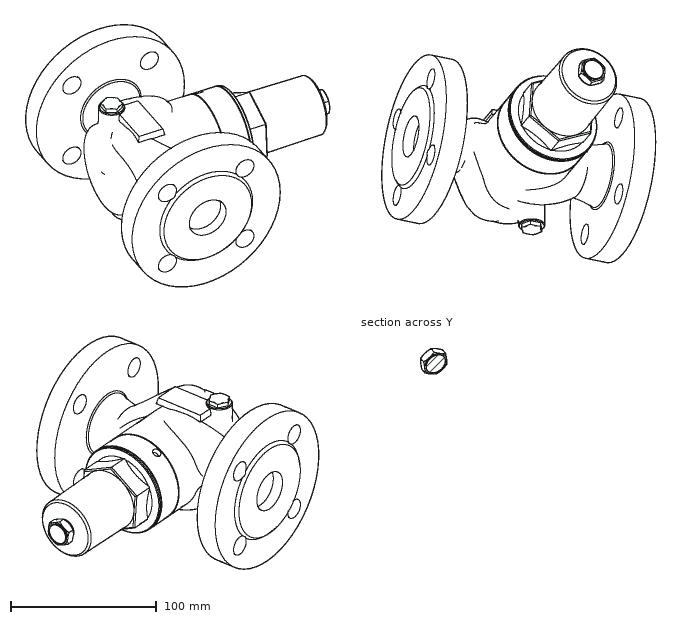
import cadquery as cq
import math


overcut = 1.0

face_to_face = 160.0
overall_depth = 190.78
flange_dia = 115.0
flange_rim_x = 62.0
flange_hub_x = 61.2
raised_face_height = 2.3
raised_face_dia = 68.0
raised_face_base_dia = 72.0
bolt_circle_dia = 85.0
bolt_hole_dia = 14.0
bolt_hole_count = 4
bolt_start_angle = 45.0
port_dia = 28.5
port_depth = 8.0

neck_radius = 18.6
neck_straight_x = 44.0
neck_mid_x = 52.5
neck_mid_radius = 19.9
neck_flare_x = 58.5
neck_flare_radius = 21.6
neck_corner_x = 60.4
neck_corner_radius = 22.3
neck_root_radius = 23.6
neck_body_fillet = 4.0

body_radius = 32.5
base_fillet = 5.0
base_edge_y = -38.2
base_tip_y = -39.9
parting_y = 40.0
lip_groove_y = 59.2
groove_width = 0.4
groove_depth = 0.3
bonnet_top_y = 61.6
bonnet_chamfer = 0.6

hex_across_flats = 46.0
hex_top_y = 76.6
hex_turn = 4.0
hex_chamfer = 0.9
skirt_radius = 26.0
skirt_top_radius = 23.0
skirt_height = 2.0

cap_base_radius = 22.0
cap_top_radius = 21.35
cap_top_y = 124.55
cap_chamfer = 1.5
washer_dia = 15.0
nut_across_flats = 17.0
nut_turn = 5.0
nut_bottom_y = 126.5
nut_corner_slope = 0.6
nut_tip_base_radius = 7.5
nut_tip_radius = 7.0
nut_top_y = 132.7
nut_tip_y = overall_depth - flange_dia / 2

lock_hole_y = 44.0
lock_hole_angle = 30.0
lock_hole_dia = 6.1
lock_hole_depth = 4.0

boss_x = -18.8
boss_y = -22.0
boss_dia = 18.0
boss_draft_z = 34.7
boss_base_dia = 18.8
boss_top_z = 37.3
boss_chamfer = 0.6
plug_corner_dia = 15.0
plug_top_z = 40.4
plug_turn = 30.0
plug_end_radius = 6.2
plug_corner_slope = 0.3
boss_fillet = 2.5

label_x = 0.4
label_y = -11.4
label_length = 38.6
label_width = 20.6
label_draft = 1.1
label_bottom_z = 31.5
label_top_z = 36.1

passage_half_height = 32.4
shoulder_x = 28.6
shoulder_half_height = 27.4
neck_inset = 0.1
corner_inset = 0.1
passage_end = neck_radius - neck_inset
neck_section = (-passage_end, passage_end, passage_end, passage_end - corner_inset)

inlet_sections = [
    (2, -3, 16, passage_half_height, 3),
    (-14, -5, 20, passage_half_height, 5),
    (-shoulder_x, -8, 19, shoulder_half_height, 6),
    (-neck_straight_x, *neck_section),
]
outlet_sections = [
    (0, -36, -9, passage_half_height, 6),
    (18, -36, -9, passage_half_height, 6),
    (shoulder_x, -31, 2, shoulder_half_height, 8),
    (neck_straight_x, *neck_section),
]


def turned(profile):
    """Close a half outline and turn it about the Y axis."""
    return profile.close().revolve(360, (0, 0, 0), (0, 1, 0))


def hexagon(across_flats, turn, bottom, top):
    """Hexagon on the Y axis with one corner turned from +Z toward -X by the given angle."""
    corner_dia = across_flats / math.cos(math.pi / 6)
    prism = cq.Workplane("XZ", origin=(0, bottom, 0)).polygon(6, corner_dia).extrude(bottom - top)
    return prism.rotate((0, 0, 0), (0, 1, 0), 30 - turn)


def round_corners(prism, bottom, top, end_radius, slope, both_ends):
    """Trim the corners of a hexagon on the Y axis with a cone at its top or at both ends."""
    middle = (bottom + top) / 2
    middle_radius = end_radius + (top - middle) / slope
    bottom_radius = end_radius if both_ends else middle_radius
    return prism.intersect(turned(
        cq.Workplane("XY")
        .moveTo(0, bottom)
        .lineTo(bottom_radius, bottom)
        .lineTo(middle_radius, middle)
        .lineTo(end_radius, top)
        .lineTo(0, top)
    ))


def pipe_end(side):
    """Neck, flange and raised face; side is -1 for the inlet and +1 for the outlet."""
    half = face_to_face / 2
    face_x = half - raised_face_height
    profile = (
        cq.Workplane("XY")
        .moveTo(0, 0)
        .lineTo(0, neck_radius)
        .lineTo(neck_straight_x, neck_radius)
        .threePointArc((neck_mid_x, neck_mid_radius), (neck_flare_x, neck_flare_radius))
        .lineTo(neck_corner_x, neck_corner_radius)
        .lineTo(flange_hub_x, neck_root_radius)
        .lineTo(flange_rim_x, flange_dia / 2)
        .lineTo(face_x, flange_dia / 2)
        .lineTo(face_x, raised_face_base_dia / 2)
        .lineTo(half, raised_face_dia / 2)
        .lineTo(half, 0)
        .close()
    )
    end = profile.revolve(360, (0, 0, 0), (1, 0, 0))
    return end if side > 0 else end.mirror("YZ")


def body():
    arc_mid = base_fillet * math.sqrt(0.5)
    edge_radius = body_radius - base_fillet
    fillet_y = base_edge_y + base_fillet
    dome_mid_y = base_tip_y + (base_edge_y - base_tip_y) / 4
    return turned(
        cq.Workplane("XY")
        .moveTo(0, base_tip_y)
        .threePointArc((edge_radius / 2, dome_mid_y), (edge_radius, base_edge_y))
        .threePointArc((edge_radius + arc_mid, fillet_y - arc_mid), (body_radius, fillet_y))
        .lineTo(body_radius, bonnet_top_y - bonnet_chamfer)
        .lineTo(body_radius - bonnet_chamfer, bonnet_top_y)
        .lineTo(skirt_radius, bonnet_top_y)
        .lineTo(skirt_top_radius, bonnet_top_y + skirt_height)
        .lineTo(0, bonnet_top_y + skirt_height)
    )


def bonnet_groove(y):
    ring = cq.Workplane("XZ", origin=(0, y + groove_width / 2, 0)).circle(body_radius + overcut)
    return ring.circle(body_radius - groove_depth).extrude(groove_width)


def spring_cap():
    return turned(
        cq.Workplane("XY")
        .moveTo(0, hex_top_y)
        .lineTo(cap_base_radius, hex_top_y)
        .lineTo(cap_top_radius, cap_top_y - cap_chamfer)
        .lineTo(cap_top_radius - cap_chamfer, cap_top_y)
        .lineTo(washer_dia / 2, cap_top_y)
        .lineTo(washer_dia / 2, nut_bottom_y)
        .lineTo(0, nut_bottom_y)
    )


def nut_tip():
    return turned(
        cq.Workplane("XY")
        .moveTo(0, nut_top_y)
        .lineTo(nut_tip_base_radius, nut_top_y)
        .lineTo(nut_tip_radius, nut_tip_y)
        .lineTo(0, nut_tip_y)
    )


def lock_hole():
    floor = cq.Workplane("XY", origin=(0, 0, body_radius - lock_hole_depth))
    tool = floor.circle(lock_hole_dia / 2).extrude(lock_hole_depth + overcut)
    return tool.rotate((0, 0, 0), (0, 1, 0), -lock_hole_angle).translate((0, lock_hole_y, 0))


def passage(sections):
    """Solid lofted through rounded rectangles that stand across the pipe."""
    wires = []
    for x, y_low, y_high, half_height, corner in sections:
        centre = cq.Vector(x, (y_low + y_high) / 2, 0)
        outline = cq.Sketch().rect(y_high - y_low, 2 * half_height).vertices().fillet(corner)
        plane = cq.Plane(origin=centre, xDir=(0, 1, 0), normal=(1, 0, 0))
        wires.append(outline.reset().faces().val().outerWire().moved(plane.location))
    return cq.Workplane(cq.Solid.makeLoft(wires))


def gauge_boss():
    boss = (
        cq.Workplane("XY")
        .lineTo(boss_base_dia / 2, 0)
        .lineTo(boss_dia / 2, boss_draft_z)
        .lineTo(boss_dia / 2, boss_top_z - boss_chamfer)
        .lineTo(boss_dia / 2 - boss_chamfer, boss_top_z)
        .lineTo(0, boss_top_z)
    )
    boss = turned(boss).rotate((0, 0, 0), (1, 0, 0), 90)
    return boss.translate((boss_x, boss_y, 0))


def gauge_plug():
    across_flats = plug_corner_dia * math.cos(math.pi / 6)
    plug = hexagon(across_flats, plug_turn, boss_top_z, plug_top_z)
    plug = round_corners(plug, boss_top_z, plug_top_z, plug_end_radius, plug_corner_slope, False)
    return plug.rotate((0, 0, 0), (1, 0, 0), 90).translate((boss_x, boss_y, 0))


def bonnet_hexagon():
    prism = hexagon(hex_across_flats, hex_turn, bonnet_top_y, hex_top_y)
    return prism.faces(">Y").chamfer(hex_chamfer)


def adjusting_nut():
    nut = hexagon(nut_across_flats, nut_turn, nut_bottom_y, nut_top_y)
    return round_corners(nut, nut_bottom_y, nut_top_y, nut_across_flats / 2, nut_corner_slope, True)


def label_plate():
    height = label_top_z - label_bottom_z
    taper = math.degrees(math.atan(label_draft / height))
    plate = cq.Workplane("XY", origin=(label_x, label_y, label_bottom_z)).rect(label_length, label_width)
    return plate.extrude(height, taper=taper)


def flange_holes():
    pattern = cq.Workplane("YZ").polarArray(bolt_circle_dia / 2, bolt_start_angle, 360, bolt_hole_count)
    holes = pattern.circle(bolt_hole_dia / 2).extrude(face_to_face / 2, both=True)
    gap = cq.Workplane("XY").box(2 * (flange_hub_x - overcut), flange_dia, flange_dia)
    holes = holes.cut(gap)
    for side in (-1, 1):
        port = cq.Workplane("YZ", origin=(side * face_to_face / 2, 0, 0)).circle(port_dia / 2)
        holes = holes.union(port.extrude(-side * port_depth))
    return holes


def body_with_bosses():
    """Body with the two gauge bosses, filleted where they leave the body wall."""
    upper_boss = gauge_boss()
    shape = body().union(upper_boss).union(upper_boss.mirror("XY"))
    reach = boss_base_dia / 2 + boss_fillet
    for side in (-1, 1):
        corner = (boss_x - reach, boss_y - reach, 0)
        opposite = (boss_x + reach, boss_y + reach, side * boss_draft_z)
        root = cq.selectors.BoxSelector(corner, opposite)
        shape = shape.edges(root).fillet(boss_fillet)
    return shape


def add_pipe(shape):
    """Add both pipe ends and fillet the edges where the necks meet the body."""
    shape = shape.union(pipe_end(-1)).union(pipe_end(1))
    root_box = 2 * neck_radius + 2 * neck_body_fillet
    corner = (-neck_straight_x, -root_box / 2, -root_box / 2)
    opposite = (neck_straight_x, root_box / 2, root_box / 2)
    return shape.edges(cq.selectors.BoxSelector(corner, opposite)).fillet(neck_body_fillet)


result = add_pipe(body_with_bosses())
result = result.union(passage(inlet_sections)).union(passage(outlet_sections))

upper_plug = gauge_plug()
result = result.union(upper_plug).union(upper_plug.mirror("XY")).union(label_plate())

result = result.union(bonnet_hexagon()).union(spring_cap())
result = result.union(adjusting_nut()).union(nut_tip())

for groove_y in (parting_y, lip_groove_y):
    result = result.cut(bonnet_groove(groove_y))
result = result.cut(lock_hole()).cut(flange_holes())